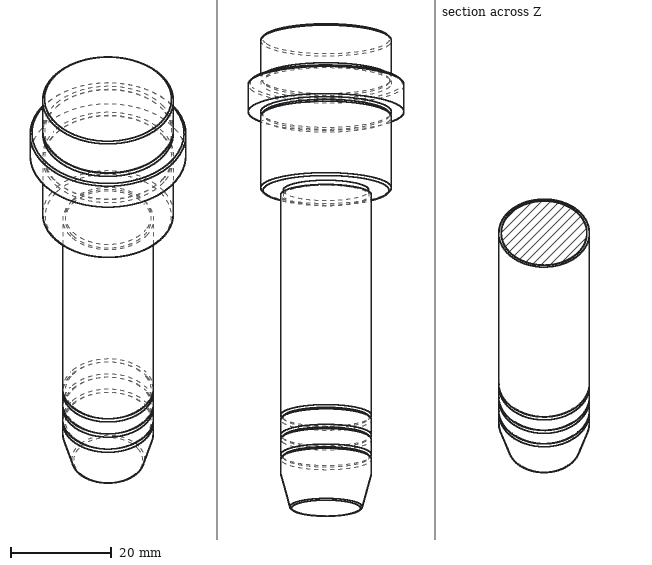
import cadquery as cq
import math

length = 96.0

head_radius = 26.0 / 2
flange_radius = 31.0 / 2
shank_radius = 9.0
neck_radius = 8.5
edge_chamfer = 0.4

flange_top = 87.0
flange_bottom = 81.0
head_bottom = 65.0
head_bottom_chamfer = 0.5
neck_height = 1.0

head_groove_width = 1.0
head_groove_depth = 0.4
shank_groove_width = 0.9
shank_groove_depth = 0.5
groove_count = 3
groove_pitch = 4.0
lowest_groove_bottom = 10.1

taper_height = 7.0
taper_angle = 15.0
tip_chamfer = 0.3


def cylinder(radius, bottom, top):
    return cq.Workplane("XY").workplane(offset=bottom).circle(radius).extrude(top - bottom)


def vee_groove(rim_radius, bottom, width, depth):
    """Ring with a triangular section pointing at the axis."""
    section = [
        (rim_radius, bottom),
        (rim_radius - depth, bottom + width / 2),
        (rim_radius, bottom + width),
    ]
    return cq.Workplane("XZ").polyline(section).close().revolve(360, (0, 0), (0, 1))


tip_radius = shank_radius - taper_height * math.tan(math.radians(taper_angle))
tip = (
    cq.Workplane("XY")
    .circle(tip_radius)
    .workplane(offset=taper_height)
    .circle(shank_radius)
    .loft(ruled=True)
    .faces("<Z")
    .chamfer(tip_chamfer)
)
neck_bottom = head_bottom - neck_height
shank = tip.union(cylinder(shank_radius, taper_height, neck_bottom))
for index in range(groove_count):
    groove_bottom = lowest_groove_bottom + index * groove_pitch
    shank = shank.cut(vee_groove(shank_radius, groove_bottom, shank_groove_width, shank_groove_depth))
neck = cylinder(neck_radius, neck_bottom, head_bottom)

head = (
    cylinder(head_radius, head_bottom, length)
    .faces(">Z")
    .chamfer(edge_chamfer)
    .faces("<Z")
    .chamfer(head_bottom_chamfer)
)
for groove_bottom in (flange_top, flange_bottom - head_groove_width):
    head = head.cut(vee_groove(head_radius, groove_bottom, head_groove_width, head_groove_depth))
flange = cylinder(flange_radius, flange_bottom, flange_top).faces(">Z").chamfer(edge_chamfer)

result = shank.union(neck).union(head).union(flange)